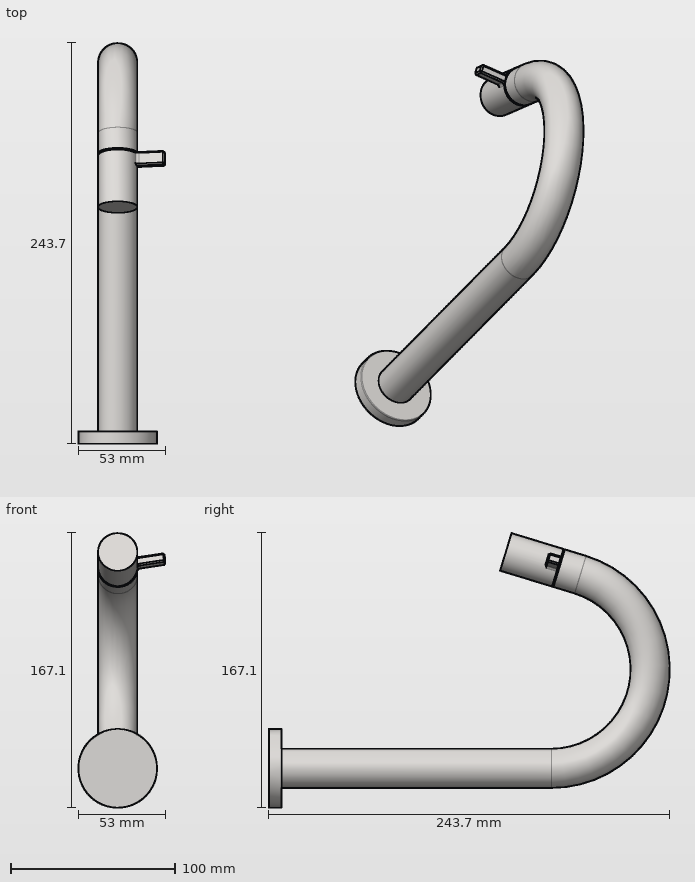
import cadquery as cq
import math

tube_diameter = 24.0
overall_depth = 243.71
bend_radius = 60.2
bend_angle = 163.0

flange_diameter = 48.0
flange_thickness = 7.7
flange_fillet = 0.5

spout_length = 47.25
cap_length = 33.0
groove_width = 1.0
groove_depth = 0.4

lever_width = 8.6
lever_thickness = 5.5
lever_reach = 29.12
lever_tilt = 9.0
lever_from_tip = 29.6
lever_chamfer = 1.0
lever_root_radius = 2.5
lever_root_embed = 0.04

tube_radius = tube_diameter / 2
bend_center_y = overall_depth - tube_radius - bend_radius
spout_tilt = 180.0 - bend_angle


def bend_point(angle):
    """Point (y, z) on the bend axis, after turning by angle degrees from the bend start."""
    turn = math.radians(angle)
    y = bend_center_y + bend_radius * math.sin(turn)
    z = bend_radius * (1 - math.cos(turn))
    return y, z


def spout_point(distance):
    """Point (y, z) on the spout axis at a distance past the end of the bend."""
    tilt = math.radians(spout_tilt)
    end_y, end_z = bend_point(bend_angle)
    return end_y - distance * math.cos(tilt), end_z + distance * math.sin(tilt)


def spout_plane(distance_from_tip):
    """Plane across the spout: local x is X, local z points along the flow."""
    tilt = math.radians(spout_tilt)
    y, z = spout_point(spout_length - distance_from_tip)
    return cq.Plane(origin=(0, y, z), xDir=(1, 0, 0), normal=(0, -math.cos(tilt), math.sin(tilt)))


def make_flange():
    disc = cq.Workplane("XZ").circle(flange_diameter / 2).extrude(-flange_thickness)
    return disc.faces(">Y").edges().fillet(flange_fillet)


def make_tube():
    path = (
        cq.Workplane("YZ")
        .moveTo(0, 0)
        .lineTo(bend_center_y, 0)
        .threePointArc(bend_point(bend_angle / 2), bend_point(bend_angle))
        .lineTo(*spout_point(spout_length))
    )
    return cq.Workplane("XZ").circle(tube_radius).sweep(path)


def make_groove():
    """Ring cut at the joint between the tube and the handle cap."""
    return (
        cq.Workplane(spout_plane(cap_length + groove_width))
        .circle(tube_radius + groove_depth)
        .circle(tube_radius - groove_depth)
        .extrude(groove_width)
    )


def make_lever():
    """Bar with concave fillets where its two broad faces run into the cap.

    The fillets end slightly below the cap surface so that lever and cap fuse.
    """
    half = lever_thickness / 2
    foot_radius = tube_radius - lever_root_embed
    center_distance = foot_radius + lever_root_radius
    center_v = half + lever_root_radius
    center_u = math.sqrt(center_distance**2 - center_v**2)
    foot_u = center_u * foot_radius / center_distance
    foot_v = center_v * foot_radius / center_distance

    plane = spout_plane(lever_from_tip + lever_width / 2).rotated((0, 0, lever_tilt))
    bar = (
        cq.Workplane(plane)
        .moveTo(foot_u, foot_v)
        .radiusArc((center_u, half), -lever_root_radius)
        .lineTo(lever_reach, half)
        .lineTo(lever_reach, -half)
        .lineTo(center_u, -half)
        .radiusArc((foot_u, -foot_v), -lever_root_radius)
        .lineTo(0, 0)
        .close()
        .extrude(lever_width)
    )
    lever_end = bar.faces(cq.selectors.DirectionMinMaxSelector(plane.xDir, True))
    long_edges = bar.edges(cq.selectors.ParallelDirSelector(plane.xDir))
    return lever_end.edges().add(long_edges).chamfer(lever_chamfer)


result = make_tube().union(make_flange()).cut(make_groove()).union(make_lever())